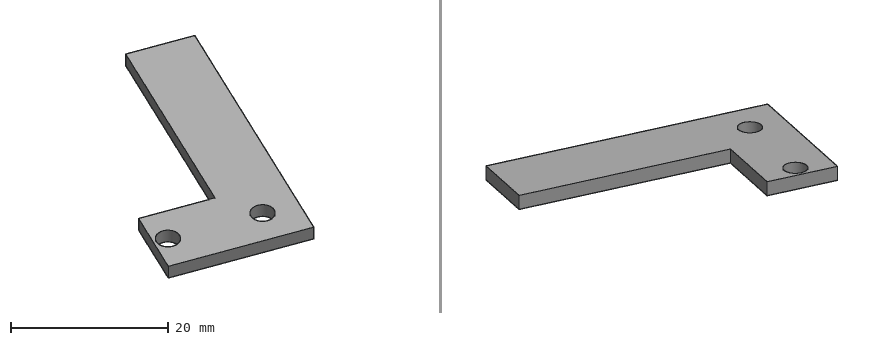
import cadquery as cq

length = 40.0
width = 20.0
thickness = 2.0

arm_width = 9.5
leg_width = 10.0

hole_diameter = 3.2
hole_x = length - leg_width / 2
lower_hole_y = 2.0
hole_spacing = 13.0


def l_plate():
    """Plate with a long arm along X and a short leg along Y at its +X end."""
    inner_x = length - leg_width
    inner_y = width - arm_width
    outline = [
        (0, width),
        (0, inner_y),
        (inner_x, inner_y),
        (inner_x, 0),
        (length, 0),
        (length, width),
    ]
    return cq.Workplane("XY").polyline(outline).close().extrude(thickness)


def through_holes():
    """Cylinders that cut the two holes in the leg."""
    centres = [(hole_x, lower_hole_y), (hole_x, lower_hole_y + hole_spacing)]
    return cq.Workplane("XY").pushPoints(centres).circle(hole_diameter / 2).extrude(thickness)


result = l_plate().cut(through_holes())